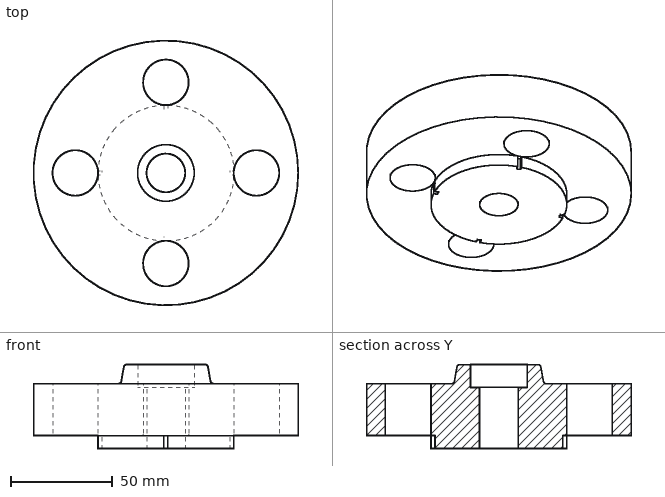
import cadquery as cq
import math

flange_diameter = 130.0
flange_thickness = 25.5
face_diameter = 66.7
face_height = 6.4

hub_height = 9.5
hub_base_diameter = 44.3
hub_taper_angle = 10.0
hub_fillet_radius = 1.5

bore_diameter = 18.9
socket_diameter = 27.8
socket_depth = 11.3

bolt_hole_count = 4
bolt_hole_diameter = 22.2
bolt_circle_diameter = 88.9

notch_count = 4
notch_width = 2.0
notch_depth = 2.0

flange_bottom = face_height
flange_top = flange_bottom + flange_thickness
hub_top = flange_top + hub_height


def make_body():
    """Revolve the raised face, flange disc and tapered hub as one solid."""
    hub_base_radius = hub_base_diameter / 2
    hub_top_radius = hub_base_radius - hub_height * math.tan(math.radians(hub_taper_angle))
    profile = [
        (0, 0),
        (face_diameter / 2, 0),
        (face_diameter / 2, flange_bottom),
        (flange_diameter / 2, flange_bottom),
        (flange_diameter / 2, flange_top),
        (hub_base_radius, flange_top),
        (hub_top_radius, hub_top),
        (0, hub_top),
    ]
    return cq.Workplane("XZ").polyline(profile).close().revolve(360, (0, 0), (0, 1))


def round_hub(body):
    """Round the top rim of the hub and blend its base into the flange."""
    top_rim = body.faces(">Z").edges()
    base_corner = body.edges(cq.selectors.RadiusNthSelector(1))
    return body.newObject(top_rim.vals() + base_corner.vals()).fillet(hub_fillet_radius)


def cut_stepped_bore(body):
    """Cut the through bore and the wider socket above it."""
    bore = cq.Workplane("XY").circle(bore_diameter / 2).extrude(hub_top)
    socket = (
        cq.Workplane("XY", origin=(0, 0, hub_top - socket_depth))
        .circle(socket_diameter / 2)
        .extrude(socket_depth)
    )
    return body.cut(bore).cut(socket)


def cut_bolt_holes(body):
    """Drill the bolt holes, starting on the X axis."""
    holes = (
        cq.Workplane("XY")
        .polarArray(bolt_circle_diameter / 2, 0, 360, bolt_hole_count)
        .circle(bolt_hole_diameter / 2)
        .extrude(flange_top)
    )
    return body.cut(holes)


def cut_face_notches(body):
    """Cut flat-ended notches over the full height of the raised face rim."""
    notch_end_radius = face_diameter / 2 - notch_depth
    cutter_length = 2 * notch_depth
    notches = (
        cq.Workplane("XY")
        .polarArray(notch_end_radius + cutter_length / 2, 0, 360, notch_count)
        .rect(cutter_length, notch_width)
        .extrude(face_height)
    )
    return body.cut(notches)


result = make_body()
result = round_hub(result)
result = cut_stepped_bore(result)
result = cut_bolt_holes(result)
result = cut_face_notches(result)